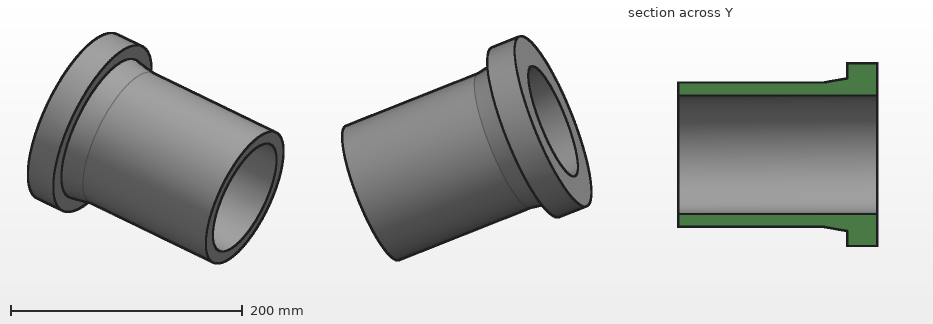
import cadquery as cq

total_length = 172.0
collar_length = 26.1
taper_length = 20.0
collar_diameter = 158.0
taper_diameter = 132.1
pipe_diameter = 125.0
bore_diameter = 102.2

taper_end = collar_length + taper_length
collar_radius = collar_diameter / 2
taper_radius = taper_diameter / 2
pipe_radius = pipe_diameter / 2
bore_radius = bore_diameter / 2

half_section = (
    cq.Workplane("XY")
    .moveTo(0, bore_radius)
    .lineTo(0, collar_radius)
    .lineTo(collar_length, collar_radius)
    .lineTo(collar_length, taper_radius)
    .lineTo(taper_end, pipe_radius)
    .lineTo(total_length, pipe_radius)
    .lineTo(total_length, bore_radius)
    .close()
)

result = half_section.revolve(360, (0, 0, 0), (1, 0, 0))